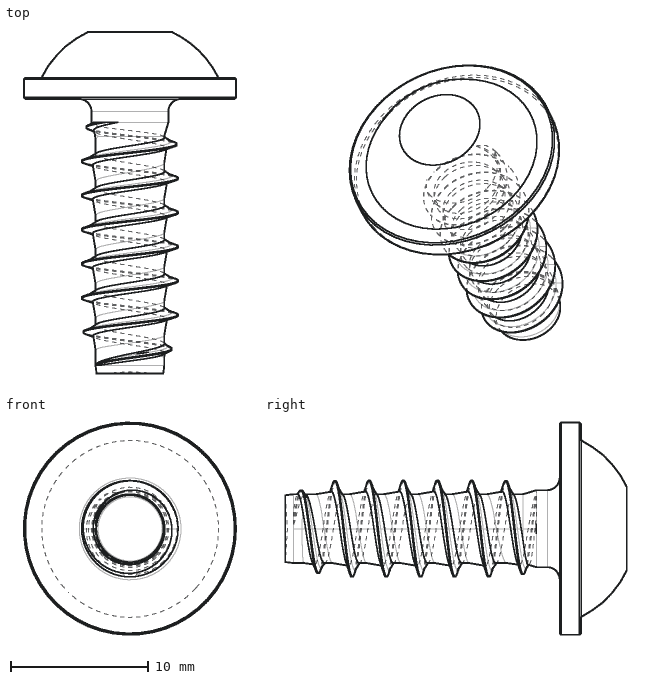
import cadquery as cq
import math

total_length = 24.9

flange_radius = 7.75
flange_height = 1.57
head_height = 4.9
dome_top_radius = 3.05
dome_base_radius = 6.45
flange_chamfer = 0.12

shank_length = total_length - head_height
neck_radius = 2.81
neck_length = 1.7
neck_fillet = 0.9
neck_taper_length = 1.0
core_radius = 2.51
tip_radius = 2.45
tip_taper_length = 0.6
tip_dish_radius = 2.35
tip_dish_depth = 0.15

pitch = 2.5
crest_radius = 3.5
first_full_crest_y = -4.53
full_turns = 4.5
run_out_turns = 1.5
start_crest_radius = 2.8
end_crest_radius = 2.5
buried_radius = 2.25
sunk_radius = 2.47
patches_per_turn = 2
steps_per_patch = 8
head_flank_break_radius = 3.01
head_flank_break_offset = 0.2
half_crest_width = 0.037
tip_flank_root_radius = 2.71
tip_flank_root_offset = -0.27
root_head_offset = 0.67
root_tip_offset = -1.72

ridge_section = [
    (buried_radius, root_head_offset),
    (head_flank_break_radius, head_flank_break_offset),
    (crest_radius, half_crest_width),
    (crest_radius, -half_crest_width),
    (tip_flank_root_radius, tip_flank_root_offset),
    (sunk_radius, root_tip_offset),
    (buried_radius, root_tip_offset),
]


def make_body():
    """Revolve the head, neck and unthreaded core as one profile."""
    dome_height = head_height - flange_height
    center_depth = (dome_base_radius**2 - dome_top_radius**2 - dome_height**2) / (2 * dome_height)
    dome_radius = math.hypot(dome_base_radius, center_depth)
    dome_middle_height = dome_height / 2
    dome_middle_radius = math.sqrt(dome_radius**2 - (center_depth + dome_middle_height) ** 2)
    fillet_reach = neck_fillet * (1 - math.sqrt(0.5))

    profile = (
        cq.Workplane("XY")
        .moveTo(0, head_height)
        .lineTo(dome_top_radius, head_height)
        .threePointArc(
            (dome_middle_radius, flange_height + dome_middle_height),
            (dome_base_radius, flange_height),
        )
        .lineTo(flange_radius - flange_chamfer, flange_height)
        .lineTo(flange_radius, flange_height - flange_chamfer)
        .lineTo(flange_radius, flange_chamfer)
        .lineTo(flange_radius - flange_chamfer, 0)
        .lineTo(neck_radius + neck_fillet, 0)
        .threePointArc((neck_radius + fillet_reach, -fillet_reach), (neck_radius, -neck_fillet))
        .lineTo(neck_radius, -neck_length)
        .lineTo(core_radius, -neck_length - neck_taper_length)
        .lineTo(core_radius, -shank_length + tip_taper_length)
        .lineTo(tip_radius, -shank_length)
        .lineTo(tip_dish_radius, -shank_length)
        .lineTo(0, -shank_length + tip_dish_depth)
        .close()
    )
    return profile.revolve(360, (0, 0, 0), (0, 1, 0))


def crest_radius_at(turn):
    """Crest radius, shrinking smoothly over the run-out at each end of the thread."""
    if turn < 0:
        return crest_radius - (crest_radius - start_crest_radius) * (turn / run_out_turns) ** 2
    past_full = max(0, turn - full_turns)
    return crest_radius - (crest_radius - end_crest_radius) * (past_full / run_out_turns) ** 2


def thread_point(radius, offset, turn):
    """Place one point of the ridge section at a given turn, scaling its height in the run-outs."""
    height_scale = (crest_radius_at(turn) - buried_radius) / (crest_radius - buried_radius)
    local_radius = buried_radius + (radius - buried_radius) * height_scale
    angle = 2 * math.pi * turn
    return cq.Vector(
        -local_radius * math.cos(angle),
        first_full_crest_y - pitch * turn + offset,
        -local_radius * math.sin(angle),
    )


def make_thread():
    """Skin the ridge between helical edges, in half-turn patches."""
    first_turn = -run_out_turns
    last_turn = full_turns + run_out_turns
    patch_count = round((last_turn - first_turn) * patches_per_turn)

    faces = []
    for patch in range(patch_count):
        patch_start = first_turn + patch / patches_per_turn
        turns = [
            patch_start + step / (patches_per_turn * steps_per_patch) for step in range(steps_per_patch + 1)
        ]
        edges = []
        for radius, offset in ridge_section:
            edges.append(cq.Edge.makeSpline([thread_point(radius, offset, turn) for turn in turns]))
        for index, edge in enumerate(edges):
            faces.append(cq.Face.makeRuledSurface(edges[index - 1], edge))
    for turn in (first_turn, last_turn):
        corners = [thread_point(radius, offset, turn) for radius, offset in ridge_section]
        faces.append(cq.Face.makeFromWires(cq.Wire.makePolygon(corners, close=True)))

    ridge = cq.Solid.makeSolid(cq.Shell.makeShell(faces))
    threaded_zone = cq.Solid.makeCylinder(
        flange_radius,
        shank_length - tip_taper_length - neck_length,
        cq.Vector(0, -neck_length, 0),
        cq.Vector(0, -1, 0),
    )
    return cq.Workplane(ridge.fix()).intersect(cq.Workplane(threaded_zone))


result = make_body().union(make_thread())